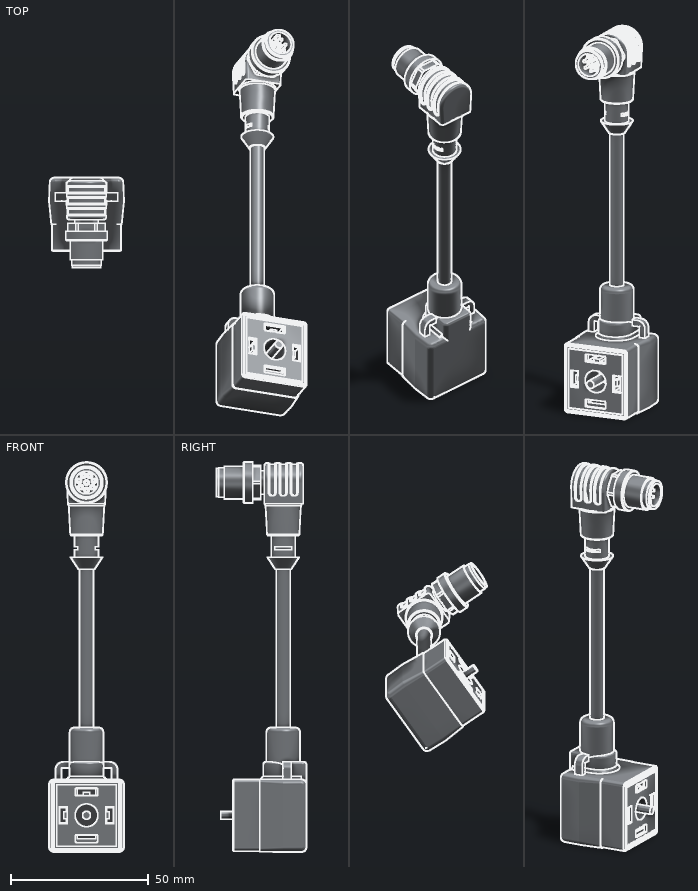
import cadquery as cq
import math

OVERLAP = 0.5

PLUG_HEIGHT = 26.5
PLUG_BACK_Y = 8.5
PLUG_STEP_Y = -8.5
PLUG_FRONT_Y = -18.4
PARTING_WIDTH = 27.4
BACK_WIDTH = 26.7
MIDDLE_WIDTH = 25.7
FRONT_WIDTH = 25.2
MIDDLE_BOTTOM_Z = 0.1
FRONT_BOTTOM_Z = 0.3
HOUSING_CORNER_RADIUS = 2.0
FRONT_CORNER_RADIUS = 1.4
FRONT_EDGE = 0.45
BACK_EDGE_RADIUS = 1.9

FACE_CENTRE_Z = 13.4
GASKET_INNER_WIDTH = 21.6
GASKET_INNER_HEIGHT = 22.4
GASKET_GROOVE_WIDTH = 0.9
GASKET_GROOVE_DEPTH = 0.5
SCREW_HOLE_DIAMETER = 8.3
SCREW_HOLE_DEPTH = 12.0
SCREW_DIAMETER = 2.9
SCREW_END_Y = -22.8
SLOT_OFFSET = 8.5
SLOT_THICKNESS = 2.9
SLOT_DEPTH = 8.0
SLOT_MOUTH_DEPTH = 1.0
SLOT_INNER_THICKNESS = 2.3
WIDE_SLOT_LENGTH = 8.2
WIDE_SLOT_CORNER_RADIUS = 0.6
SIDE_SLOT_LENGTH = 6.3
WIDE_SLOT_INNER_LENGTH = 6.8
SIDE_SLOT_INNER_LENGTH = 5.6
CONTACT_LENGTH = 2.4
CONTACT_THICKNESS = 1.3
BLADE_THICKNESS = 1.2

BOSS_TOP_Z = 32.9
BOSS_WIDTH = 12.4
BOSS_ROUND_CENTRE_Y = -1.1
BOSS_CORNER_RADIUS = 1.6
BOSS_EDGE_RADIUS = 1.1
BOSS_FLARE = 1.1
FOOT_RIM = 0.01
FOOT_BEVEL = BOSS_FLARE - FOOT_RIM
SLEEVE_DIAMETER = 12.4
SLEEVE_TOP_Z = 45.4
SLEEVE_EDGE_RADIUS = 1.9

LOOP_WIDTH = 22.7
LOOP_BAR = 2.3
LOOP_OUTER_RADIUS = 3.0
LOOP_BACK_Y = 3.0
LOOP_FRONT_Y = -0.1

CABLE_DIAMETER = 5.2
SKIRT_BOTTOM_Z = 102.9
SKIRT_TOP_Z = 107.4
SKIRT_BOTTOM_DIAMETER = 5.94
SKIRT_TOP_DIAMETER = 11.8
NECK_DIAMETER = 8.8
NOTCH_Z = 110.6
NOTCH_HEIGHT = 1.0
NOTCH_HALF_SPACING = 3.2
GRIP_BOTTOM_Z = 115.2
GRIP_BOTTOM_DIAMETER = 11.9
GRIP_TOP_DIAMETER = 13.0
GRIP_SHOULDER_DIAMETER = 13.6
GRIP_SHOULDER_HEIGHT = 0.7
GRIP_EDGE = 0.4

PLUG_AXIS_Z = 134.5
BODY_BOTTOM_Z = 126.7
BODY_RADIUS = 7.2
BODY_BOTTOM_WIDTH = 13.6
BODY_BACK_Y = 7.3
BODY_FRONT_Y = -6.9
BODY_EDGE_RADIUS = 1.1
GROOVE_PITCH = 4.0
GROOVE_BOTTOM_Z = 129.6
GROOVE_STEPS = ((2.8, 0.2), (1.9, 0.5))

COLLAR_DIAMETER = 8.7
HEX_BACK_Y = -8.1
HEX_FLATS = 12.4
HEX_CORNER_DIAMETER = 13.8
NUT_BACK_Y = -11.0
NUT_DIAMETER = 15.0
NUT_EDGE = 0.3
THREAD_BACK_Y = -14.5
THREAD_DIAMETER = 12.0
SPIGOT_BACK_Y = -21.5
SPIGOT_DIAMETER = 10.8
TIP_BACK_Y = -23.4
TIP_DIAMETER = 10.5
OVERALL_DEPTH = 32.8
TIP_Y = PLUG_BACK_Y - OVERALL_DEPTH
BORE_DIAMETER = 8.3
BORE_DEPTH = 7.0
CONTACT_PIN_DIAMETER = 1.0
CONTACT_PIN_RECESS = 2.0
CONTACT_PIN_CIRCLE_RADIUS = 2.75
OUTER_CONTACT_PINS = 7
CONTACT_PIN_COLLAR_DIAMETER = 2.0
CONTACT_PIN_COLLAR_LENGTH = 1.0
KEY_WIDTH = 1.2
KEY_PROJECTION = 0.9


def facing_front(y):
    """Sketch plane at depth y whose normal points to -Y, with local x = X and local y = Z."""
    return cq.Workplane("XZ", origin=(0, y, 0))


def front_cylinder(diameter, back_y, front_y, x=0.0, z=PLUG_AXIS_Z):
    return facing_front(back_y).center(x, z).circle(diameter / 2).extrude(back_y - front_y)


def front_block(width, height, back_y, front_y, x, z):
    return facing_front(back_y).center(x, z).rect(width, height).extrude(back_y - front_y)


def upright_cylinder(diameter, bottom_z, top_z):
    return cq.Workplane("XY", origin=(0, 0, bottom_z)).circle(diameter / 2).extrude(top_z - bottom_z)


def upright_cone(bottom_diameter, top_diameter, bottom_z, top_z):
    height = top_z - bottom_z
    base = cq.Vector(0, 0, bottom_z)
    return cq.Workplane(cq.Solid.makeCone(bottom_diameter / 2, top_diameter / 2, height, base))


def housing_outline(y, width, bottom_z, corner_radius):
    """Rounded rectangular wire at depth y, from bottom_z to the top of the housing."""
    height = PLUG_HEIGHT - bottom_z
    block = front_block(width, height, y, PLUG_FRONT_Y - OVERLAP, 0, bottom_z + height / 2)
    return block.edges("|Y").fillet(corner_radius).faces(">Y").wires().val()


def housing_stage(back_outline, front_outline):
    """Straight-walled stretch of the housing between two outlines."""
    return cq.Workplane(cq.Solid.makeLoft([back_outline, front_outline], True))


def plug_housing():
    rear = housing_stage(
        housing_outline(PLUG_BACK_Y, BACK_WIDTH, 0, HOUSING_CORNER_RADIUS),
        housing_outline(0, PARTING_WIDTH, 0, HOUSING_CORNER_RADIUS),
    )
    rear = rear.faces(">Y").edges().fillet(BACK_EDGE_RADIUS)
    middle = housing_stage(
        housing_outline(0, PARTING_WIDTH, 0, HOUSING_CORNER_RADIUS),
        housing_outline(PLUG_STEP_Y, MIDDLE_WIDTH, MIDDLE_BOTTOM_Z, FRONT_CORNER_RADIUS),
    )
    front = housing_stage(
        housing_outline(PLUG_STEP_Y, FRONT_WIDTH, FRONT_BOTTOM_Z, FRONT_CORNER_RADIUS),
        housing_outline(PLUG_FRONT_Y, FRONT_WIDTH, FRONT_BOTTOM_Z, FRONT_CORNER_RADIUS),
    )
    front = front.faces("<Y").edges().chamfer(FRONT_EDGE)
    return rear.union(middle).union(front)


def gasket_groove():
    bottom_y = PLUG_FRONT_Y + GASKET_GROOVE_DEPTH
    outer_width = GASKET_INNER_WIDTH + 2 * GASKET_GROOVE_WIDTH
    outer_height = GASKET_INNER_HEIGHT + 2 * GASKET_GROOVE_WIDTH
    outer = front_block(outer_width, outer_height, bottom_y, PLUG_FRONT_Y, 0, FACE_CENTRE_Z)
    inner = front_block(GASKET_INNER_WIDTH, GASKET_INNER_HEIGHT, bottom_y, PLUG_FRONT_Y, 0, FACE_CENTRE_Z)
    return outer.cut(inner)


def add_screw(plug):
    floor_y = PLUG_FRONT_Y + SCREW_HOLE_DEPTH
    hole = front_cylinder(SCREW_HOLE_DIAMETER, floor_y, PLUG_FRONT_Y, z=FACE_CENTRE_Z)
    screw = front_cylinder(SCREW_DIAMETER, floor_y + OVERLAP, SCREW_END_Y, z=FACE_CENTRE_Z)
    return plug.cut(hole).union(screw)


def add_contact_slots(plug):
    """Cut the four contact slots and leave a recessed contact in each."""
    floor_y = PLUG_FRONT_Y + SLOT_DEPTH
    mouth_floor_y = PLUG_FRONT_Y + SLOT_MOUTH_DEPTH
    contact_offset = SLOT_OFFSET - (SLOT_THICKNESS - CONTACT_THICKNESS) / 2
    upper_z = FACE_CENTRE_Z + SLOT_OFFSET
    lower_z = FACE_CENTRE_Z - SLOT_OFFSET

    for z in (upper_z, lower_z):
        mouth = front_block(WIDE_SLOT_LENGTH, SLOT_THICKNESS, mouth_floor_y, PLUG_FRONT_Y, 0, z)
        mouth = mouth.edges("|Y").fillet(WIDE_SLOT_CORNER_RADIUS)
        pocket = front_block(WIDE_SLOT_INNER_LENGTH, SLOT_INNER_THICKNESS, floor_y, PLUG_FRONT_Y, 0, z)
        plug = plug.cut(mouth).cut(pocket)
    for side in (-1, 1):
        x = side * SLOT_OFFSET
        mouth = front_block(SLOT_THICKNESS, SIDE_SLOT_LENGTH, mouth_floor_y, PLUG_FRONT_Y, x, FACE_CENTRE_Z)
        pocket = front_block(
            SLOT_INNER_THICKNESS, SIDE_SLOT_INNER_LENGTH, floor_y, PLUG_FRONT_Y, x, FACE_CENTRE_Z
        )
        contact = front_block(
            CONTACT_THICKNESS, CONTACT_LENGTH, floor_y, mouth_floor_y, side * contact_offset, FACE_CENTRE_Z
        )
        plug = plug.cut(mouth).cut(pocket).union(contact)

    upper_contact = front_block(
        CONTACT_LENGTH, CONTACT_THICKNESS, floor_y, mouth_floor_y, 0, FACE_CENTRE_Z + contact_offset
    )
    blade_z = lower_z - BLADE_THICKNESS / 2
    lower_blade = front_block(WIDE_SLOT_INNER_LENGTH, BLADE_THICKNESS, floor_y, mouth_floor_y, 0, blade_z)
    return plug.union(upper_contact).union(lower_blade)


def boss_outline(bottom_z, back_y, margin=0.0):
    """Straight-sided outline with a flat back end and a round front end."""
    half = BOSS_WIDTH / 2 + margin
    return (
        cq.Workplane("XY", origin=(0, 0, bottom_z))
        .moveTo(-half, back_y)
        .lineTo(-half, BOSS_ROUND_CENTRE_Y)
        .threePointArc((0, BOSS_ROUND_CENTRE_Y - half), (half, BOSS_ROUND_CENTRE_Y))
        .lineTo(half, back_y)
        .close()
    )


def cable_outlet():
    """Boss on the housing with a flared foot, and the sleeve around the cable."""
    boss_bottom_z = PLUG_HEIGHT - BACK_EDGE_RADIUS - OVERLAP
    boss = boss_outline(boss_bottom_z, PLUG_BACK_Y).extrude(BOSS_TOP_Z - boss_bottom_z)
    boss = boss.faces(">Y").edges("|Z").fillet(BOSS_CORNER_RADIUS)
    boss = boss.faces(">Z").edges().fillet(BOSS_EDGE_RADIUS)
    foot = boss_outline(PLUG_HEIGHT, PLUG_BACK_Y - BACK_EDGE_RADIUS, BOSS_FLARE).extrude(BOSS_FLARE)
    foot = foot.faces(">Z").edges("not(>Y)").chamfer(FOOT_BEVEL)
    sleeve = upright_cylinder(SLEEVE_DIAMETER, PLUG_HEIGHT, SLEEVE_TOP_Z)
    sleeve = sleeve.faces(">Z").edges().fillet(SLEEVE_EDGE_RADIUS)
    return boss.union(foot).union(sleeve)


def fastening_loop():
    """Upright U-shaped bar across the housing with rounded outer corners."""
    bottom_z = PLUG_HEIGHT - LOOP_BAR
    height = BOSS_TOP_Z - bottom_z
    centre_z = bottom_z + height / 2
    bar = front_block(LOOP_WIDTH, height, LOOP_BACK_Y, LOOP_FRONT_Y, 0, centre_z)
    bar = bar.faces(">Z").edges("|Y").fillet(LOOP_OUTER_RADIUS)
    window = front_block(
        LOOP_WIDTH - 2 * LOOP_BAR, height, LOOP_BACK_Y, LOOP_FRONT_Y, 0, centre_z - LOOP_BAR
    )
    return bar.cut(window)


def cable_and_grip():
    """Cable, flared skirt, notched neck and tapered grip up to the connector body."""
    cable = upright_cylinder(CABLE_DIAMETER, SLEEVE_TOP_Z - OVERLAP, SKIRT_TOP_Z)
    skirt = upright_cone(SKIRT_BOTTOM_DIAMETER, SKIRT_TOP_DIAMETER, SKIRT_BOTTOM_Z, SKIRT_TOP_Z)
    neck = upright_cylinder(NECK_DIAMETER, SKIRT_TOP_Z - OVERLAP, GRIP_BOTTOM_Z + OVERLAP)
    for side in (-1, 1):
        notch = cq.Workplane("XY").box(NECK_DIAMETER, NECK_DIAMETER, NOTCH_HEIGHT)
        neck = neck.cut(notch.translate((side * (NOTCH_HALF_SPACING + NECK_DIAMETER / 2), 0, NOTCH_Z)))
    shoulder_z = BODY_BOTTOM_Z - GRIP_SHOULDER_HEIGHT
    grip = upright_cone(GRIP_BOTTOM_DIAMETER, GRIP_TOP_DIAMETER, GRIP_BOTTOM_Z, shoulder_z)
    grip = grip.faces("<Z").edges().chamfer(GRIP_EDGE)
    shoulder = upright_cone(GRIP_TOP_DIAMETER, GRIP_SHOULDER_DIAMETER, shoulder_z, BODY_BOTTOM_Z)
    return cable.union(skirt).union(neck).union(grip).union(shoulder)


def body_profile(inset=0.0):
    """Arched connector outline, drawn smaller by inset on the arch and on both sides."""
    radius = BODY_RADIUS - inset
    bottom_half = BODY_BOTTOM_WIDTH / 2 - inset
    return (
        facing_front(BODY_BACK_Y)
        .moveTo(-bottom_half, BODY_BOTTOM_Z)
        .lineTo(-radius, PLUG_AXIS_Z)
        .threePointArc((0, PLUG_AXIS_Z + radius), (radius, PLUG_AXIS_Z))
        .lineTo(bottom_half, BODY_BOTTOM_Z)
        .close()
        .extrude(BODY_BACK_Y - BODY_FRONT_Y)
    )


def cut_grip_grooves(body):
    """Cut three stepped grooves over the arch that end round on both sides."""
    full_profile = body_profile()
    top_z = PLUG_AXIS_Z + 2 * BODY_RADIUS
    for index in (-1, 0, 1):
        for width, depth in GROOVE_STEPS:
            length = top_z - GROOVE_BOTTOM_Z
            band = (
                cq.Workplane("YZ")
                .center(index * GROOVE_PITCH, GROOVE_BOTTOM_Z + length / 2)
                .slot2D(length, width, 90)
                .extrude(BODY_RADIUS + OVERLAP, both=True)
            )
            body = body.cut(full_profile.cut(body_profile(depth)).intersect(band))
    return body


def connector_body():
    body = body_profile()
    body = body.faces("<Y or >Y").edges("not(<Z)").fillet(BODY_EDGE_RADIUS)
    return cut_grip_grooves(body)


def threaded_end():
    """Coupling nut and sleeve with an open bore at the front."""
    collar = front_cylinder(COLLAR_DIAMETER, BODY_FRONT_Y + OVERLAP, HEX_BACK_Y)
    hex_corners = HEX_FLATS / math.cos(math.pi / 6)
    hexagon = facing_front(HEX_BACK_Y).center(0, PLUG_AXIS_Z).polygon(6, hex_corners)
    hexagon = hexagon.extrude(HEX_BACK_Y - NUT_BACK_Y)
    hexagon = hexagon.intersect(front_cylinder(HEX_CORNER_DIAMETER, HEX_BACK_Y, NUT_BACK_Y))
    nut = front_cylinder(NUT_DIAMETER, NUT_BACK_Y, THREAD_BACK_Y).faces("<Y").edges().chamfer(NUT_EDGE)
    thread = front_cylinder(THREAD_DIAMETER, THREAD_BACK_Y, SPIGOT_BACK_Y)
    spigot = front_cylinder(SPIGOT_DIAMETER, SPIGOT_BACK_Y, TIP_BACK_Y)
    tip = front_cylinder(TIP_DIAMETER, TIP_BACK_Y, TIP_Y)
    bore = front_cylinder(BORE_DIAMETER, TIP_Y + BORE_DEPTH, TIP_Y)
    return collar.union(hexagon).union(nut).union(thread).union(spigot).union(tip).cut(bore)


def contact_insert():
    """Central pin and ring of pins, each with a collar, and the key at the top of the bore."""
    floor_y = TIP_Y + BORE_DEPTH
    pin_end_y = TIP_Y + CONTACT_PIN_RECESS
    key_height = KEY_PROJECTION + OVERLAP
    key_z = PLUG_AXIS_Z + BORE_DIAMETER / 2 + OVERLAP - key_height / 2
    insert = front_block(KEY_WIDTH, key_height, floor_y + OVERLAP, pin_end_y, 0, key_z)
    places = [(0, 0)]
    for index in range(OUTER_CONTACT_PINS):
        angle = 2 * math.pi * index / OUTER_CONTACT_PINS
        x = CONTACT_PIN_CIRCLE_RADIUS * math.sin(angle)
        z = -CONTACT_PIN_CIRCLE_RADIUS * math.cos(angle)
        places.append((x, z))
    for x, z in places:
        pin = front_cylinder(CONTACT_PIN_DIAMETER, floor_y + OVERLAP, pin_end_y, x, PLUG_AXIS_Z + z)
        collar = front_cylinder(
            CONTACT_PIN_COLLAR_DIAMETER,
            floor_y + OVERLAP,
            floor_y - CONTACT_PIN_COLLAR_LENGTH,
            x,
            PLUG_AXIS_Z + z,
        )
        insert = insert.union(pin).union(collar)
    return insert


plug = plug_housing().cut(gasket_groove())
plug = add_contact_slots(add_screw(plug))
plug = plug.union(cable_outlet()).union(fastening_loop())
connector = connector_body().union(threaded_end()).union(contact_insert())
result = plug.union(cable_and_grip()).union(connector)